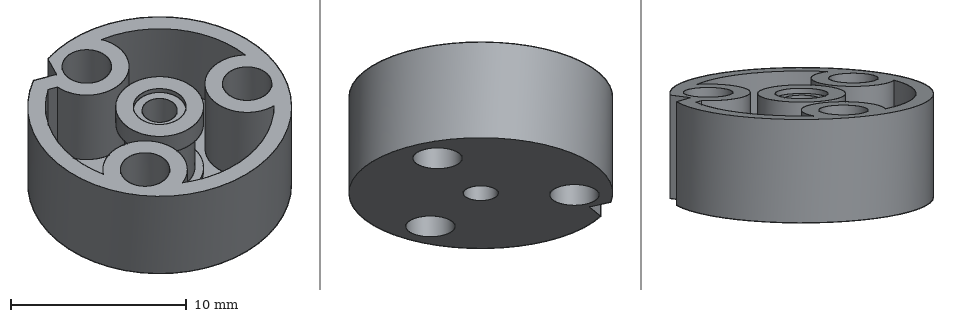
import cadquery as cq
import math

outer_diameter = 15.0
height = 6.0
wall = 1.0
floor_thickness = 1.0

boss_count = 3
boss_circle_radius = 5.32
boss_diameter = 4.8
boss_hole_diameter = 2.8
first_boss_angle = 90.0

post_diameter = 4.0
flange_diameter = 5.0
head_thickness = 1.3
base_flange_height = 0.28
bore_diameter = 2.0
counterbore_diameter = 3.0
counterbore_depth = 0.3

notch_boss_angle = first_boss_angle + 360 / boss_count
notch_corner_x = boss_circle_radius * math.cos(math.radians(notch_boss_angle))
notch_corner_y = -4.5


def cylinder(diameter, bottom, top, center=(0, 0)):
    """Vertical cylinder between two heights."""
    return (
        cq.Workplane("XY", origin=(center[0], center[1], bottom))
        .circle(diameter / 2)
        .extrude(top - bottom)
    )


def corner_block(corner_x, corner_y):
    """Full-height block filling everything to the -X, -Y side of a corner."""
    return cq.Workplane("XY").box(
        outer_diameter, outer_diameter, height, centered=False
    ).translate((corner_x - outer_diameter, corner_y - outer_diameter, 0))


def boss_centers():
    angles = [math.radians(first_boss_angle + i * 360 / boss_count) for i in range(boss_count)]
    return [(boss_circle_radius * math.cos(a), boss_circle_radius * math.sin(a)) for a in angles]


def cavity():
    """Space inside the rim, leaving the bosses and a wall around the notch."""
    space = cylinder(outer_diameter - 2 * wall, floor_thickness, height)
    for center in boss_centers():
        space = space.cut(cylinder(boss_diameter, 0, height, center))
    return space.cut(corner_block(notch_corner_x + wall, notch_corner_y + wall))


def central_post():
    post = cylinder(post_diameter, 0, height)
    base_flange = cylinder(flange_diameter, 0, floor_thickness + base_flange_height)
    head = cylinder(flange_diameter, height - head_thickness, height)
    return post.union(base_flange).union(head)


body = cylinder(outer_diameter, 0, height).cut(cavity()).union(central_post())

for hole_center in boss_centers():
    body = body.cut(cylinder(boss_hole_diameter, 0, height, hole_center))
body = body.cut(cylinder(bore_diameter, 0, height))
body = body.cut(cylinder(counterbore_diameter, height - counterbore_depth, height))
result = body.cut(corner_block(notch_corner_x, notch_corner_y))